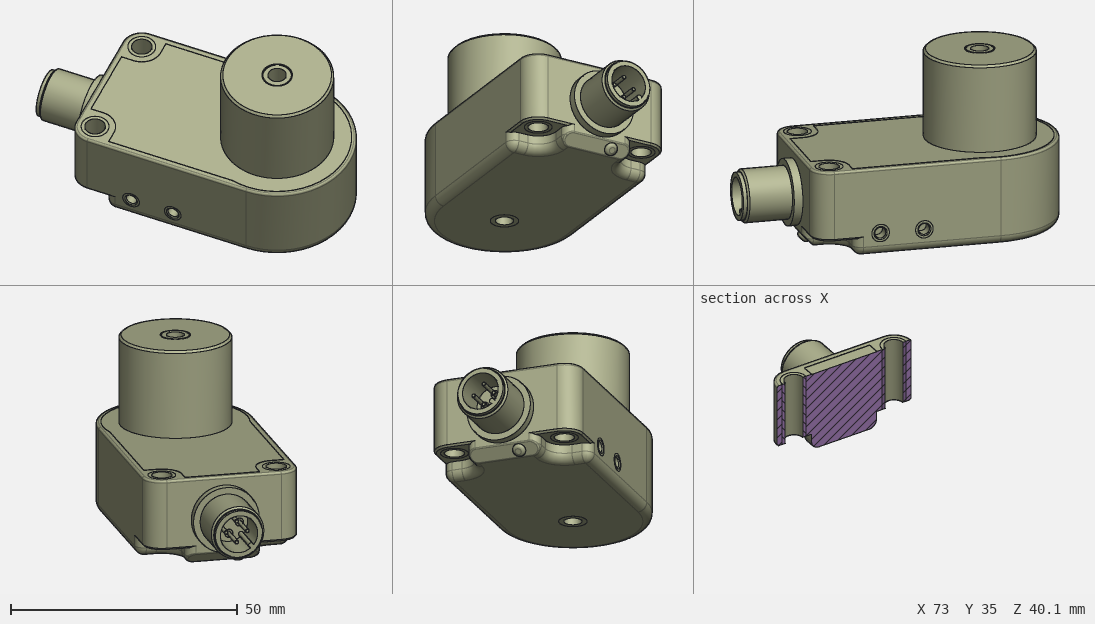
import cadquery as cq
import math

total_length = 73
width = 35.0
end_radius = width / 2
length = 60.0
height = 20.0
back_x = end_radius - length
corner_radius = 4.45
top_fillet = 0.5
base_fillet = 2.05

hole_inset = 4.45
hole_x = back_x + hole_inset
hole_y = end_radius - hole_inset
boss_radius = 4.5
boss_edge_x = hole_x + boss_radius
boss_edge_y = hole_y - boss_radius
relief_height = 4.0
relief_chamfer = 0.45
relief_lip_radius = 2.1

panel_depth = 0.1
panel_margin = 1.5
panel_end_radius = 16.4

head_diameter = 25.0
head_top = 40.0
head_chamfer = 0.5

tube_diameter = 6.3
tube_bore = 4.0
tube_mouth = 6.7

sleeve_diameter = 6.1
sleeve_bore = 4.5

bevel_leg = 2.55
bevel_rounding = 0.45
lamp_y = -3.6
lamp_diameter = 3.0
lamp_rise = 0.9
lamp_rounding = 0.8
lamp_root = 0.4

adjuster_positions = (-27.5, -17.5)
adjuster_z = 5.05
adjuster_diameter = 4.0
adjuster_length = 4.0
adjuster_mouth = 3.0
adjuster_bore = 2.5
adjuster_bore_depth = 3.0

plug_z = 10.5
plug_end_x = end_radius - total_length
flange_diameter = 15.0
flange_thickness = 2.0
flange_x = back_x - flange_thickness
barrel_diameter = 12.0
barrel_chamfer = 0.45
tip_diameter = 10.7
tip_length = 0.9
socket_diameter = 8.5
socket_depth = 8.75
socket_floor_x = plug_end_x + socket_depth
key_diameter = 1.2
key_radius = 3.9
key_angle = math.radians(225)

pin_count = 4
pin_circle_radius = 2.4
pin_diameter = 0.9
pin_tip_diameter = 0.7
pin_setback = 2.0
well_diameter = 1.8
well_depth = 0.4


def point_on_circle(radius, angle):
    return radius * math.cos(angle), radius * math.sin(angle)


def mirrored_plate(half_outline, thickness):
    """Extrude an outline drawn for +Y only, completed by its mirror image in the XZ plane."""
    return half_outline.mirrorX().extrude(thickness).clean()


def round_end(z, radius, half_width, arc_end_x):
    """Start an outline at the round end and follow its arc to the straight side."""
    arc_end_angle = math.atan2(half_width, arc_end_x)
    arc_middle = point_on_circle(radius, arc_end_angle / 2)
    start = cq.Workplane("XY", origin=(0, 0, z)).moveTo(radius, 0)
    return start.threePointArc(arc_middle, (arc_end_x, half_width))


def vertical_cylinder(diameter, x, y, bottom, top):
    return cq.Workplane("XY", origin=(x, y, bottom)).circle(diameter / 2).extrude(top - bottom)


def plug_cylinder(diameter, start_x, end_x, y=0, z=0):
    """Cylinder along X, with y and z measured from the plug axis."""
    plane = cq.Workplane("YZ", origin=(start_x, y, plug_z + z))
    return plane.circle(diameter / 2).extrude(end_x - start_x)


def side_cylinder(diameter, x, depth):
    """Cylinder that runs inward from the -Y side wall."""
    plane = cq.Workplane("XZ", origin=(x, -end_radius, adjuster_z))
    return plane.circle(diameter / 2).extrude(-depth)


def make_upper_block():
    """Full outline of the housing, above the cut-away corners."""
    outline = (
        round_end(relief_height, end_radius, end_radius, 0)
        .lineTo(back_x + corner_radius, end_radius)
        .tangentArcPoint((back_x, end_radius - corner_radius), relative=False)
        .lineTo(back_x, 0)
    )
    block = mirrored_plate(outline, height - relief_height)
    block = block.faces("<Z").edges().chamfer(relief_chamfer)
    return block.faces(">Z").edges().fillet(top_fillet)


def make_base_block():
    """Lower part of the housing, with the corners cut away around the mounting holes."""
    lip = relief_lip_radius
    outline = (
        round_end(0, end_radius, end_radius, 0)
        .lineTo(boss_edge_x + lip, end_radius)
        .tangentArcPoint((boss_edge_x, end_radius - lip), relative=False)
        .lineTo(boss_edge_x, hole_y)
        .tangentArcPoint((hole_x, boss_edge_y), relative=False)
        .lineTo(back_x + lip, boss_edge_y)
        .tangentArcPoint((back_x, boss_edge_y - lip), relative=False)
        .lineTo(back_x, 0)
    )
    block = mirrored_plate(outline, relief_height + relief_chamfer)
    return block.faces("<Z").edges().fillet(base_fillet)


def make_panel_recess():
    """Volume of the panel, which leaves the corners around the mounting holes standing."""
    half_width = end_radius - panel_margin
    arc_end_x = -math.sqrt(panel_end_radius**2 - half_width**2)
    outline = (
        round_end(height - panel_depth, panel_end_radius, half_width, arc_end_x)
        .lineTo(boss_edge_x, half_width)
        .lineTo(boss_edge_x, hole_y)
        .tangentArcPoint((hole_x, boss_edge_y), relative=False)
        .lineTo(back_x + panel_margin, boss_edge_y)
        .lineTo(back_x + panel_margin, 0)
    )
    return mirrored_plate(outline, panel_depth)


def make_bevel_wedge():
    corners = [(back_x, 0), (back_x + bevel_leg, 0), (back_x, bevel_leg)]
    return cq.Workplane("XZ").polyline(corners).close().extrude(end_radius, both=True)


def make_lamp():
    """Domed lamp standing square on the bevel."""
    bevel_plane = cq.Plane(
        origin=(back_x + bevel_leg / 2, lamp_y, bevel_leg / 2), xDir=(0, 1, 0), normal=(-1, 0, -1)
    )
    stem = cq.Workplane(bevel_plane).workplane(offset=-lamp_root).circle(lamp_diameter / 2)
    lamp = stem.extrude(lamp_root + lamp_rise)
    return lamp.faces(cq.selectors.DirectionMinMaxSelector(bevel_plane.zDir)).edges().fillet(lamp_rounding)


def make_head():
    head = vertical_cylinder(head_diameter, 0, 0, height - panel_depth, head_top)
    return head.faces(">Z").edges().chamfer(head_chamfer)


def make_housing():
    housing = make_upper_block().union(make_base_block()).cut(make_bevel_wedge())
    slanted_faces = housing.faces(cq.selectors.ParallelDirSelector(cq.Vector(-1, 0, -1)))
    housing = slanted_faces.faces("<Z").edges().fillet(bevel_rounding)
    housing = housing.union(make_lamp())
    housing = housing.cut(make_panel_recess()).union(make_head())
    housing = housing.cut(vertical_cylinder(tube_diameter, 0, 0, 0, head_top))
    mouth_edge = housing.faces(">Z").edges(cq.selectors.RadiusNthSelector(0))
    housing = mouth_edge.chamfer((tube_mouth - tube_diameter) / 2)
    for y in (-hole_y, hole_y):
        housing = housing.cut(vertical_cylinder(sleeve_diameter, hole_x, y, 0, height))
    for x in adjuster_positions:
        housing = housing.cut(side_cylinder(adjuster_diameter, x, adjuster_length))
    return housing


def make_tube():
    tube = vertical_cylinder(tube_diameter, 0, 0, 0, head_top)
    return tube.cut(vertical_cylinder(tube_bore, 0, 0, 0, head_top))


def make_sleeve(y):
    sleeve = vertical_cylinder(sleeve_diameter, hole_x, y, relief_height, height)
    return sleeve.cut(vertical_cylinder(sleeve_bore, hole_x, y, relief_height, height))


def make_adjuster(x):
    adjuster = side_cylinder(adjuster_diameter, x, adjuster_length)
    adjuster = adjuster.cut(side_cylinder(adjuster_bore, x, adjuster_bore_depth))
    bore_edge = adjuster.faces("<Y").edges(cq.selectors.RadiusNthSelector(0))
    return bore_edge.chamfer((adjuster_mouth - adjuster_bore) / 2)


def make_plug():
    flange = plug_cylinder(flange_diameter, flange_x, back_x)
    barrel = plug_cylinder(barrel_diameter, plug_end_x + tip_length, flange_x)
    barrel = barrel.faces("<X").edges().chamfer(barrel_chamfer)
    tip = plug_cylinder(tip_diameter, plug_end_x, flange_x)
    plug = flange.union(barrel).union(tip)
    plug = plug.cut(plug_cylinder(socket_diameter, plug_end_x, socket_floor_x))

    key_y, key_z = point_on_circle(key_radius, key_angle)
    plug = plug.union(plug_cylinder(key_diameter, plug_end_x, socket_floor_x, key_y, key_z))

    well_floor_x = socket_floor_x + well_depth
    for index in range(pin_count):
        y, z = point_on_circle(pin_circle_radius, 2 * math.pi * index / pin_count)
        plug = plug.cut(plug_cylinder(well_diameter, socket_floor_x, well_floor_x, y, z))
        pin = plug_cylinder(pin_diameter, plug_end_x + pin_setback, well_floor_x, y, z)
        pin = pin.faces("<X").edges().chamfer((pin_diameter - pin_tip_diameter) / 2)
        plug = plug.union(pin)
    return plug


housing = make_housing()
tube = make_tube()
plug = make_plug()
sleeves = [make_sleeve(y).val() for y in (-hole_y, hole_y)]
adjusters = [make_adjuster(x).val() for x in adjuster_positions]

result = cq.Compound.makeCompound([housing.val(), tube.val(), plug.val(), *sleeves, *adjusters])